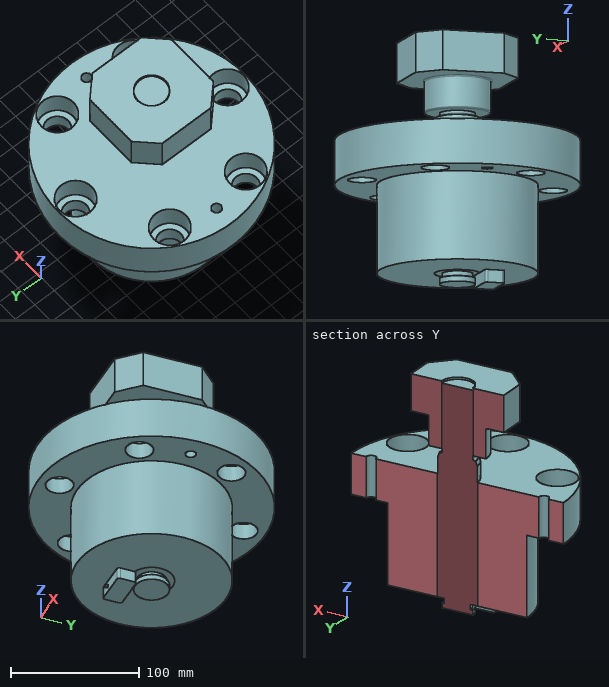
import cadquery as cq
import math

FLANGE_DIAMETER = 192.0
FLANGE_THICKNESS = 35.5
BARREL_DIAMETER = 126.0
BARREL_HEIGHT = 70.0
FLANGE_TOP = BARREL_HEIGHT + FLANGE_THICKNESS

BOLT_CIRCLE_RADIUS = 78.0
BOLT_COUNT = 6
BOLT_START_ANGLE = 90.0
BOLT_HOLE_DIAMETER = 22.0
COUNTERBORE_DIAMETER = 33.0
COUNTERBORE_DEPTH = 21.5
DOWEL_HOLE_DIAMETER = 8.5

HEAD_WIDTH = 84.0
HEAD_CORNER_CHAMFER = 17.0
HEAD_HEIGHT = 32.0
HEAD_BOTTOM = 153.0
HEAD_TOP = HEAD_BOTTOM + HEAD_HEIGHT
COLLAR_DIAMETER = 52.0
COLLAR_HEIGHT = 26.0
COLLAR_BOTTOM = HEAD_BOTTOM - COLLAR_HEIGHT
COLLAR_ROOT_FILLET = 1.0
COLLAR_EDGE_FILLET = 1.0

SHAFT_RADIUS = 18.0
SHOULDER_Z = 123.5
SHOULDER_TAPER_HEIGHT = 4.0
SHOULDER_TAPER_WIDTH = 1.5
NECK_RADIUS = 14.0
NECK_FILLET = 1.5
ROD_END_RECESS = 1.8
ROD_TOP = HEAD_TOP - ROD_END_RECESS
TAIL_NECK_RADIUS = 12.0
TAIL_NECK_LENGTH = 4.0
TAIL_DISC_RADIUS = 14.0
TAIL_DISC_THICKNESS = 4.5

SENSOR_LENGTH = 30.5
SENSOR_WIDTH = 16.0
SENSOR_HEIGHT = 10.0
SENSOR_CENTER_X = -9.0
SENSOR_CENTER_Y = -23.25
SENSOR_CORNER_RADIUS = 2.0
SENSOR_PIN_DIAMETER = 2.5
SENSOR_PIN_LENGTH = 2.0
SENSOR_PIN_X = -14.5
SENSOR_PIN_Z = -4.5


def make_housing():
    barrel = cq.Workplane("XY").circle(BARREL_DIAMETER / 2).extrude(BARREL_HEIGHT)
    flange = (
        cq.Workplane("XY")
        .workplane(offset=BARREL_HEIGHT)
        .circle(FLANGE_DIAMETER / 2)
        .extrude(FLANGE_THICKNESS)
    )
    flange = (
        flange.faces(">Z").workplane()
        .polarArray(BOLT_CIRCLE_RADIUS, BOLT_START_ANGLE, 360, BOLT_COUNT)
        .cboreHole(BOLT_HOLE_DIAMETER, COUNTERBORE_DIAMETER, COUNTERBORE_DEPTH)
    )
    flange = (
        flange.faces(">Z").workplane()
        .pushPoints([(-BOLT_CIRCLE_RADIUS, 0), (BOLT_CIRCLE_RADIUS, 0)])
        .hole(DOWEL_HOLE_DIAMETER)
    )
    rod_bore = cq.Workplane("XY").circle(SHAFT_RADIUS).extrude(FLANGE_TOP)
    return barrel.union(flange).cut(rod_bore)


def make_clamp_head():
    block = (
        cq.Workplane("XY")
        .workplane(offset=HEAD_BOTTOM)
        .rect(HEAD_WIDTH, HEAD_WIDTH)
        .extrude(HEAD_HEIGHT)
        .edges("|Z")
        .chamfer(HEAD_CORNER_CHAMFER)
    )
    collar = (
        cq.Workplane("XY")
        .workplane(offset=COLLAR_BOTTOM)
        .circle(COLLAR_DIAMETER / 2)
        .extrude(COLLAR_HEIGHT)
        .faces("<Z")
        .fillet(COLLAR_EDGE_FILLET)
    )
    underside = cq.selectors.NearestToPointSelector((0, 0, HEAD_BOTTOM))
    head = block.union(collar).faces(underside).edges("%CIRCLE").fillet(COLLAR_ROOT_FILLET)
    neck_bore = (
        cq.Workplane("XY")
        .workplane(offset=COLLAR_BOTTOM)
        .circle(NECK_RADIUS)
        .extrude(COLLAR_HEIGHT + HEAD_HEIGHT)
    )
    return head.cut(neck_bore)


def make_rod():
    tail_disc_top = -TAIL_NECK_LENGTH
    tail_bottom = tail_disc_top - TAIL_DISC_THICKNESS
    fillet_center_radius = NECK_RADIUS + NECK_FILLET
    fillet_center_z = SHOULDER_Z + NECK_FILLET
    arc_middle_offset = NECK_FILLET * math.cos(math.radians(45))
    profile = (
        cq.Workplane("XZ")
        .moveTo(0, tail_bottom)
        .lineTo(TAIL_DISC_RADIUS, tail_bottom)
        .lineTo(TAIL_DISC_RADIUS, tail_disc_top)
        .lineTo(TAIL_NECK_RADIUS, tail_disc_top)
        .lineTo(TAIL_NECK_RADIUS, 0)
        .lineTo(SHAFT_RADIUS, 0)
        .lineTo(SHAFT_RADIUS, SHOULDER_Z - SHOULDER_TAPER_HEIGHT)
        .lineTo(SHAFT_RADIUS - SHOULDER_TAPER_WIDTH, SHOULDER_Z)
        .lineTo(fillet_center_radius, SHOULDER_Z)
        .threePointArc(
            (fillet_center_radius - arc_middle_offset, fillet_center_z - arc_middle_offset),
            (NECK_RADIUS, fillet_center_z),
        )
        .lineTo(NECK_RADIUS, ROD_TOP)
        .lineTo(0, ROD_TOP)
        .close()
    )
    return profile.revolve(360, (0, 0, 0), (0, 1, 0))


def make_sensor():
    block = (
        cq.Workplane("XY")
        .center(SENSOR_CENTER_X, SENSOR_CENTER_Y)
        .rect(SENSOR_LENGTH, SENSOR_WIDTH)
        .extrude(-SENSOR_HEIGHT)
        .edges("|Z")
        .fillet(SENSOR_CORNER_RADIUS)
    )
    front_y = SENSOR_CENTER_Y - SENSOR_WIDTH / 2
    pin = (
        cq.Workplane("XZ", origin=(SENSOR_PIN_X, front_y, SENSOR_PIN_Z))
        .circle(SENSOR_PIN_DIAMETER / 2)
        .extrude(SENSOR_PIN_LENGTH)
    )
    return block.union(pin)


housing = make_housing()
clamp_head = make_clamp_head()
rod = make_rod()
sensor = make_sensor()

result = cq.Compound.makeCompound([housing.val(), clamp_head.val(), rod.val(), sensor.val()])